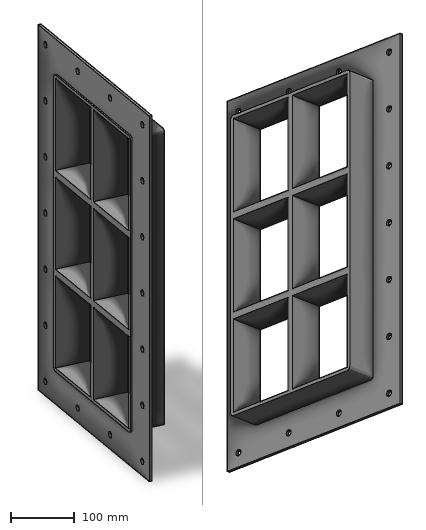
import cadquery as cq

flange_width = 383.0
flange_height = 634.5
flange_thickness = 5.0

flange_margin = 59.5
duct_width = flange_width - 2 * flange_margin
duct_height = flange_height - 2 * flange_margin
duct_depth = 60.0
duct_corner_radius = 6.0
wall = 6.0
front_lip = 3.0

columns = 2
rows = 3
upright_bar = 10.0
cross_bar = 12.0
opening_width = (duct_width - 2 * wall - (columns - 1) * upright_bar) / columns
opening_height = (duct_height - 2 * wall - (rows - 1) * cross_bar) / rows

hole_diameter = 10.0
hole_inset = 25.0
holes_across = 4
holes_up = 7
hole_pitch_x = (flange_width - 2 * hole_inset) / (holes_across - 1)
hole_pitch_z = (flange_height - 2 * hole_inset) / (holes_up - 1)


def block(width, depth, height, front_y):
    """Block centred in X and Z, extending toward +Y from front_y."""
    return cq.Workplane("XY").box(width, depth, height).translate((0, front_y + depth / 2, 0))


def centred_positions(count, pitch):
    """Evenly spaced positions, symmetric about zero."""
    return [(i - (count - 1) / 2) * pitch for i in range(count)]


def bolt_holes():
    """Drills through the flange, in a single row along each edge."""
    xs = centred_positions(holes_across, hole_pitch_x)
    zs = centred_positions(holes_up, hole_pitch_z)
    top_and_bottom = [(x, z) for x in xs for z in (zs[0], zs[-1])]
    sides = [(x, z) for x in (xs[0], xs[-1]) for z in zs[1:-1]]
    return (
        cq.Workplane("XZ")
        .pushPoints(top_and_bottom + sides)
        .circle(hole_diameter / 2)
        .extrude(-(front_lip + flange_thickness))
    )


def openings():
    """Grid of rectangular passages running the full duct depth."""
    xs = centred_positions(columns, opening_width + upright_bar)
    zs = centred_positions(rows, opening_height + cross_bar)
    return (
        cq.Workplane("XZ")
        .pushPoints([(x, z) for x in xs for z in zs])
        .rect(opening_width, opening_height)
        .extrude(-duct_depth)
    )


flange = block(flange_width, flange_thickness, flange_height, front_lip)
duct = block(duct_width, duct_depth, duct_height, 0).edges("|Y").fillet(duct_corner_radius)
result = flange.union(duct).cut(bolt_holes()).cut(openings())